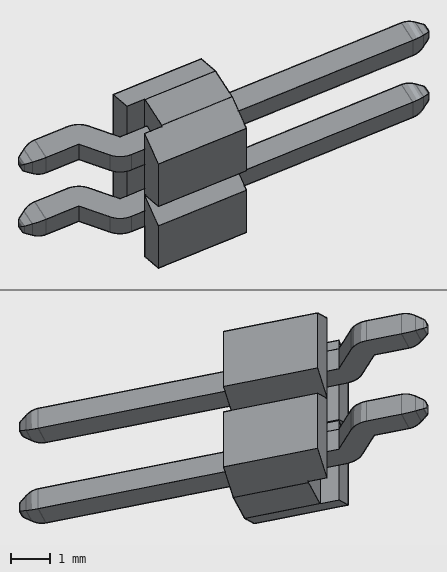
import cadquery as cq
import math

PIN_COUNT = 2
OVERALL_LENGTH = 11.1
PITCH = 2.54

BODY_WIDTH = 2.5
BODY_LENGTH = 2.5
BODY_BACK_Y = -0.24
END_FLAT_WIDTH = 0.92
CORNER_HEIGHT = 0.4
GROOVE_WIDTH = 0.98
GROOVE_DEPTH = 0.5
body_front_y = BODY_BACK_Y - BODY_LENGTH

PIN_SIZE = 0.63
SHANK_X = -0.03
BEND_START_Y = -3.01
BEND_END_Y = -4.04
foot_x = (PIN_SIZE - BODY_WIDTH) / 2

TIP_LENGTH = 0.4
TIP_END_WIDTH = 0.23
TIP_SHOULDER_RADIUS = 0.78
TIP_END_RADIUS = 0.1


def make_housing_block():
    """One eight-sided block of the housing, centred on X and Z."""
    half_width = BODY_WIDTH / 2
    half_flat = END_FLAT_WIDTH / 2
    half_height = PITCH / 2
    half_side = half_height - CORNER_HEIGHT
    outline = [
        (half_width, -half_side),
        (half_width, half_side),
        (half_flat, half_height),
        (-half_flat, half_height),
        (-half_width, half_side),
        (-half_width, -half_side),
        (-half_flat, -half_height),
        (half_flat, -half_height),
    ]
    block = cq.Workplane("XZ", origin=(0, BODY_BACK_Y, 0)).polyline(outline).close().extrude(BODY_LENGTH)
    groove = cq.Workplane("XY").box(GROOVE_WIDTH, 2 * GROOVE_DEPTH, PITCH)
    return block.cut(groove.translate((0, body_front_y, 0)))


def make_tapered_bar(length):
    """Square bar from the origin along +Y whose far end narrows on all four sides."""
    half_size = PIN_SIZE / 2
    half_end = TIP_END_WIDTH / 2
    shoulder_y = length - TIP_LENGTH
    outline = [
        (half_size, 0),
        (half_size, shoulder_y),
        (half_end, length),
        (-half_end, length),
        (-half_size, shoulder_y),
        (-half_size, 0),
    ]
    wedge = cq.Workplane("XY").polyline(outline).close().extrude(half_size, both=True)
    wedge = wedge.edges("|Z and >>Y[-3]").fillet(TIP_SHOULDER_RADIUS)
    wedge = wedge.edges("|Z and >Y").fillet(TIP_END_RADIUS)
    return wedge.intersect(wedge.rotate((0, 0, 0), (0, 1, 0), 90))


def make_bend():
    """Sloping link between shank and foot: sharp inside corners, round outside corners."""
    half_size = PIN_SIZE / 2
    upper = (SHANK_X - half_size, BEND_START_Y)
    lower = (foot_x + half_size, BEND_END_Y)
    across = upper[0] - lower[0]
    along = upper[1] - lower[1]
    slope = math.asin(PIN_SIZE / math.hypot(across, along)) + math.atan2(across, along)

    def around(corner, angle, side):
        """Point one pin thickness from an inside corner, turned clockwise from the X axis."""
        return (
            corner[0] + side * PIN_SIZE * math.cos(angle),
            corner[1] - side * PIN_SIZE * math.sin(angle),
        )

    return (
        cq.Workplane("XY")
        .moveTo(*upper)
        .lineTo(*around(upper, 0, 1))
        .threePointArc(around(upper, slope / 2, 1), around(upper, slope, 1))
        .lineTo(*lower)
        .lineTo(*around(lower, 0, -1))
        .threePointArc(around(lower, slope / 2, -1), around(lower, slope, -1))
        .close()
        .extrude(half_size, both=True)
    )


def make_pin():
    """Straight shank, sideways bend and offset foot."""
    tip_y = OVERALL_LENGTH / 2
    shank = make_tapered_bar(tip_y - BEND_START_Y).translate((SHANK_X, BEND_START_Y, 0))
    foot = make_tapered_bar(tip_y + BEND_END_Y).rotate((0, 0, 0), (0, 0, 1), 180)
    foot = foot.translate((foot_x, BEND_END_Y, 0))
    return shank.union(make_bend()).union(foot).clean()


pin_position = make_housing_block().union(make_pin())
result = pin_position
for index in range(1, PIN_COUNT):
    result = result.union(pin_position.translate((0, 0, index * PITCH)))